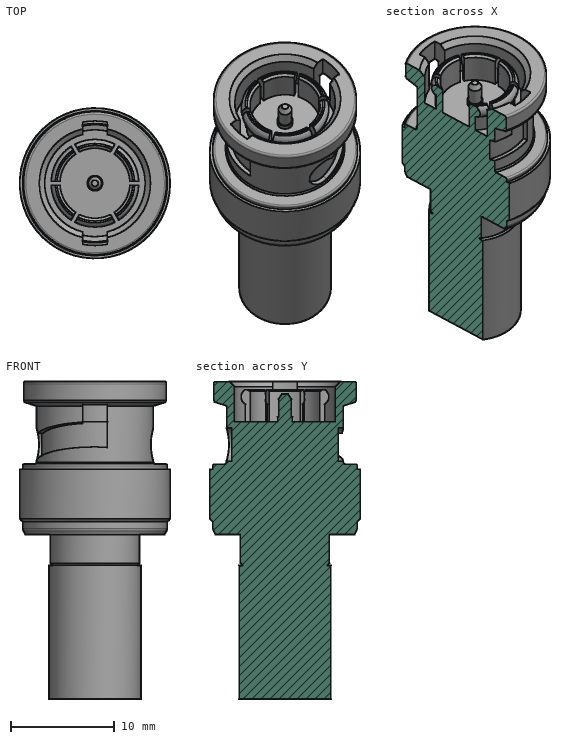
import cadquery as cq
import math


TUBE_R = 4.47
TUBE_TOP_Z = 12.98
NECK_R = 4.35
NECK_CHAMFER = 0.22

GRIP_R = 7.3
SHOULDER_R = 7.03
SHOULDER_BOTTOM_Z = 15.97
SHOULDER_END_R = 6.75
SHOULDER_BEVEL_R = 6.97
SHOULDER_BEVEL_Z = 16.35
SHOULDER_TAPER_Z = 16.6
GRIP_BOTTOM_Z = 17.48
GRIP_TOP_Z = 22.32
SHOULDER_TOP_Z = 22.8
SHOULDER_ROUND = 0.2

SLEEVE_R = 5.67
SLEEVE_FOOT_R = 5.8
SLEEVE_FOOT_H = 0.2
COLLAR_R = 6.95
COLLAR_BOTTOM_Z = 28.43
COLLAR_CONE_H = 0.37
COLLAR_EDGE_H = 0.22
COLLAR_EDGE_R = 6.85
COLLAR_ROUND = 0.22
TOP_Z = 30.83

SOCKET_R = 4.87
SOCKET_FLOOR_Z = 26.9
SOCKET_CHAMFER = 0.52

SLOT_FLOOR_R = 5.18
NOTCH_R = 6.05
NOTCH_WIDTH = 2.4
LATCH_R = 1.6
LATCH_Z = 24.7
RAMP_SLOPE = 0.25
RAMP_HEIGHT = 2.45

RING_TOP_Z = 30.03
RING_R = 4.25
RING_BORE_R = 3.4
RING_WAIST_R = 3.85
RING_BULGE_H = 1.42
RING_LIP_R = 3.67
RING_LIP_H = 0.2
SLIT_WIDTH = 0.43
SLIT_PAIRS = 3

PIN_R = 0.65
PIN_TIP_R = 0.3
PIN_TOP_Z = 29.6
PIN_CONE_H = 0.5
PIN_FOOT_R = 0.75
PIN_FOOT_H = 0.5


def revolve(points):
    """Turn a closed (radius, z) outline about the Z axis."""
    return cq.Workplane("XZ").polyline(points).close().revolve(360, (0, 0, 0), (0, 1, 0))


def make_body():
    grip_step = GRIP_R - SHOULDER_R
    outline = (
        cq.Workplane("XZ")
        .lineTo(TUBE_R, 0)
        .lineTo(TUBE_R, TUBE_TOP_Z)
        .lineTo(NECK_R - NECK_CHAMFER, TUBE_TOP_Z)
        .lineTo(NECK_R, TUBE_TOP_Z + NECK_CHAMFER)
        .lineTo(NECK_R, SHOULDER_BOTTOM_Z)
        .lineTo(SHOULDER_END_R, SHOULDER_BOTTOM_Z)
        .lineTo(SHOULDER_BEVEL_R, SHOULDER_BEVEL_Z)
        .lineTo(SHOULDER_R, SHOULDER_TAPER_Z)
        .lineTo(SHOULDER_R, GRIP_BOTTOM_Z - grip_step)
        .lineTo(GRIP_R, GRIP_BOTTOM_Z)
        .lineTo(GRIP_R, GRIP_TOP_Z)
        .lineTo(SHOULDER_R, GRIP_TOP_Z)
        .lineTo(SHOULDER_R, SHOULDER_TOP_Z - SHOULDER_ROUND)
        .radiusArc((SHOULDER_R - SHOULDER_ROUND, SHOULDER_TOP_Z), -SHOULDER_ROUND)
        .lineTo(SLEEVE_FOOT_R, SHOULDER_TOP_Z)
        .lineTo(SLEEVE_R, SHOULDER_TOP_Z + SLEEVE_FOOT_H)
        .lineTo(SLEEVE_R, COLLAR_BOTTOM_Z)
        .lineTo(COLLAR_EDGE_R, COLLAR_BOTTOM_Z + COLLAR_CONE_H)
        .lineTo(COLLAR_R, COLLAR_BOTTOM_Z + COLLAR_CONE_H + COLLAR_EDGE_H)
        .lineTo(COLLAR_R, TOP_Z - COLLAR_ROUND)
        .radiusArc((COLLAR_R - COLLAR_ROUND, TOP_Z), -COLLAR_ROUND)
        .lineTo(0, TOP_Z)
        .close()
    )
    return outline.revolve(360, (0, 0, 0), (0, 1, 0))


def make_socket():
    return revolve([
        (0, SOCKET_FLOOR_Z),
        (SOCKET_R, SOCKET_FLOOR_Z),
        (SOCKET_R, TOP_Z - SOCKET_CHAMFER),
        (SOCKET_R + SOCKET_CHAMFER, TOP_Z),
        (0, TOP_Z),
    ])


def tube_space(outer_r, inner_r, bottom_z, top_z):
    """Ring-shaped space between two radii, used to limit a cutter to a wall."""
    plane = cq.Workplane("XY").workplane(offset=bottom_z)
    return plane.circle(outer_r).circle(inner_r).extrude(top_z - bottom_z)


def make_bayonet_slot():
    """Cutter for the slot that enters at -Y and ramps down to a round latch pocket at -X."""
    entry = (
        cq.Workplane("XY").workplane(offset=SOCKET_FLOOR_Z)
        .center(0, -NOTCH_R / 2).rect(NOTCH_WIDTH, NOTCH_R).extrude(TOP_Z - SOCKET_FLOOR_Z)
        .intersect(tube_space(NOTCH_R, RING_R, SOCKET_FLOOR_Z, TOP_Z))
    )

    reach = GRIP_R
    ramp_base_z = LATCH_Z - LATCH_R * math.hypot(1, RAMP_SLOPE)
    ramp_end_z = ramp_base_z + RAMP_SLOPE * reach
    ramp_angle = math.atan(RAMP_SLOPE)
    tangent_y = -LATCH_R * math.sin(ramp_angle)
    tangent_z = LATCH_Z - LATCH_R * math.cos(ramp_angle)
    ramp = (
        cq.Workplane("YZ").workplane(offset=-reach)
        .moveTo(tangent_y, tangent_z)
        .lineTo(-reach, ramp_end_z)
        .lineTo(-reach, ramp_end_z + RAMP_HEIGHT)
        .lineTo(tangent_y, tangent_z + RAMP_HEIGHT)
        .close().extrude(reach + NOTCH_WIDTH / 2)
    )
    drop = (
        cq.Workplane("YZ").workplane(offset=-NOTCH_WIDTH / 2)
        .moveTo(-SOCKET_R, ramp_base_z + RAMP_SLOPE * SOCKET_R)
        .lineTo(-reach, ramp_end_z)
        .lineTo(-reach, SOCKET_FLOOR_Z)
        .lineTo(-SOCKET_R, SOCKET_FLOOR_Z)
        .close().extrude(NOTCH_WIDTH)
    )
    latch = cq.Workplane("YZ").center(0, LATCH_Z).circle(LATCH_R).extrude(-reach)
    wall = tube_space(NOTCH_R, SLOT_FLOOR_R, SHOULDER_TOP_Z, COLLAR_BOTTOM_Z)
    return entry.union(ramp.union(drop).union(latch).intersect(wall))


def make_contact_ring():
    outline = (
        cq.Workplane("XZ")
        .moveTo(RING_BORE_R, SOCKET_FLOOR_Z)
        .lineTo(RING_WAIST_R, SOCKET_FLOOR_Z)
        .lineTo(RING_WAIST_R, RING_TOP_Z - RING_BULGE_H)
        .threePointArc((RING_R, RING_TOP_Z - RING_BULGE_H / 2), (RING_WAIST_R, RING_TOP_Z))
        .lineTo(RING_LIP_R, RING_TOP_Z)
        .lineTo(RING_BORE_R, RING_TOP_Z - RING_LIP_H)
        .close()
    )
    ring = outline.revolve(360, (0, 0, 0), (0, 1, 0))
    slit_height = RING_TOP_Z - SOCKET_FLOOR_Z
    for i in range(SLIT_PAIRS):
        slit = (
            cq.Workplane("XY").workplane(offset=SOCKET_FLOOR_Z)
            .rect(2 * SOCKET_R, SLIT_WIDTH).extrude(slit_height)
            .rotate((0, 0, 0), (0, 0, 1), i * 180 / SLIT_PAIRS)
        )
        ring = ring.cut(slit)
    return ring


def make_pin():
    return revolve([
        (0, SOCKET_FLOOR_Z),
        (PIN_FOOT_R, SOCKET_FLOOR_Z),
        (PIN_FOOT_R, SOCKET_FLOOR_Z + PIN_FOOT_H),
        (PIN_R, SOCKET_FLOOR_Z + PIN_FOOT_H),
        (PIN_R, PIN_TOP_Z - PIN_CONE_H),
        (PIN_TIP_R, PIN_TOP_Z),
        (0, PIN_TOP_Z),
    ])


slot = make_bayonet_slot()
result = make_body().cut(make_socket())
for angle in (0, 180):
    result = result.cut(slot.rotate((0, 0, 0), (0, 0, 1), angle))
result = result.union(make_contact_ring()).union(make_pin())